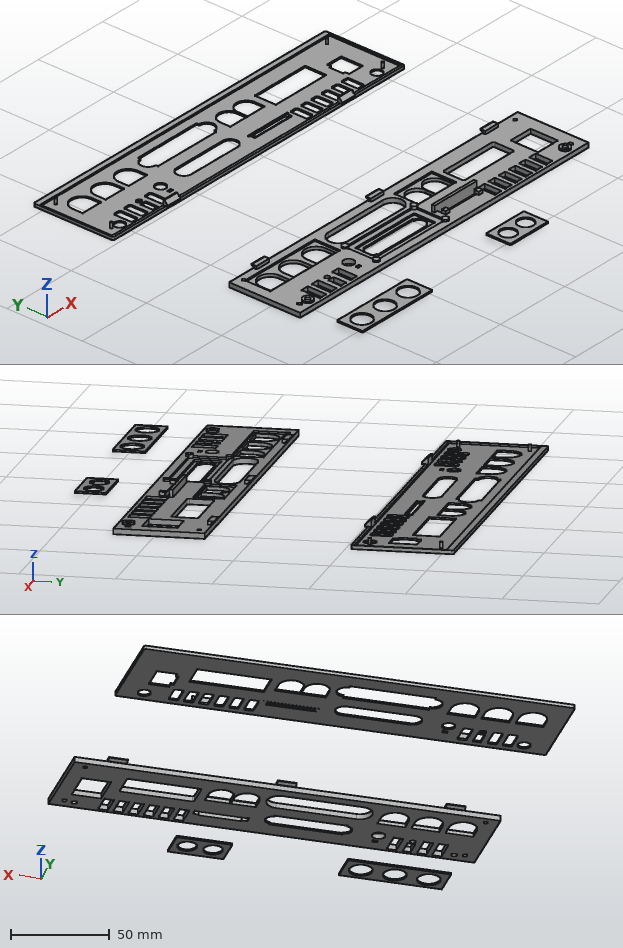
import cadquery as cq
SHEET = 1.0
REAR_TOP = 2 * SHEET
REAR_FLOOR = SHEET
FRONT_BOTTOM = REAR_FLOOR
FRONT_TOP = FRONT_BOTTOM + 3 * SHEET
LABEL_BOTTOM = FRONT_TOP - SHEET
BOSS_TOP = FRONT_TOP + SHEET
CUT_HEIGHT = 22.7

REAR_ORIGIN_Y = 55.0
FRONT_ORIGIN_Y = REAR_ORIGIN_Y - 125.0
REAR_WIDTH = 227.0
REAR_Y_MIN = -1.8
REAR_Y_MAX = 51.0
REAR_CORNER_RADIUS = 1.0
FRONT_WIDTH = 224.5
FRONT_HEIGHT = 47.2
RECESS_PLAY = 0.2

MEDIA_BAY_X = -78.5
MEDIA_PITCH = 18.0
MEDIA_ARCH_WIDTH = 14.5
MEDIA_ARCH_BOTTOM = 26.8
MEDIA_ARCH_TOP = 40.6
PS2_BAY_X = 24.0
PS2_PITCH = 13.6
PS2_ARCH_WIDTH = 13.2
PS2_ARCH_BOTTOM = 26.3
PS2_ARCH_TOP = 39.5

SLOT_PITCH = 8.0
SLOT_WIDTH = 5.0
SLOT_BOTTOM = 2.0
SLOT_CORNER_RADIUS = 1.0
LEFT_SLOT_X = -92.0
LEFT_SLOT_TOP = 14.3
LEFT_SLOT_PLACES = (0, 1, 3)
SHORT_SLOT_X = LEFT_SLOT_X + 2 * SLOT_PITCH
SHORT_SLOT_WIDTH = 4.0
SHORT_SLOT_TOP = 10.5
LAMP_Y = 13.0
REAR_LAMP_DIAMETER = 3.5
FRONT_LAMP_DIAMETER = 3.0
RIGHT_SLOT_X = 44.3
RIGHT_SLOT_COUNT = 6
RIGHT_SLOT_TOP = 13.2

KNOB_X = -57.7
KNOB_Y = 14.3
KNOB_DIAMETER = 6.8
SLIT_Y = 8.0
SLIT_WIDTH = 2.5
SLIT_HEIGHT = 1.5

WINDOW_X = 62.0
WINDOW_Y = 30.2
WINDOW_WIDTH = 39.3
WINDOW_HEIGHT = 14.0
WINDOW_CORNER_RADIUS = 1.0

CONNECTOR_X = -20.5
WIDE_PORT_Y = 35.0
WIDE_PORT_LENGTH = 55.6
WIDE_PORT_HEIGHT = 13.2
WIDE_PORT_BODY_LENGTH = 45.5
WIDE_PORT_LOBE_DIAMETER = 10.0
NARROW_PORT_Y = 15.2
NARROW_PORT_LENGTH = 45.6
NARROW_PORT_HEIGHT = 9.8
NARROW_PORT_BODY_LENGTH = 38.5
NARROW_PORT_LOBE_DIAMETER = 8.2
BEZEL_LENGTH = 53.8
BEZEL_HEIGHT = 20.9
WELL_LENGTH = 45.9
WELL_HEIGHT = 14.0
BEZEL_POST_DIAMETER = 3.9

INLET_LEFT = 88.3
INLET_Y = 22.2
INLET_FRONT_WIDTH = 15.5
INLET_FRONT_HEIGHT = 18.2
INLET_REAR_LEFT = 90.0
INLET_REAR_RIGHT = 100.5
INLET_REAR_HEIGHT = 14.5
INLET_BULGE_HEIGHT = 9.0

CARD_X = 24.7
CARD_WIDTH = 28.5
CARD_BOTTOM = 9.8
CARD_TOP = 13.6
CARD_REAR_WIDTH = 25.5
CARD_REAR_BOTTOM = 10.5
CARD_REAR_TOP = 13.0
CARD_LEDGE_DEPTH = 0.5
HOOD_GROOVE_WIDTH = 30.9
HOOD_GROOVE_BOTTOM = 12.7
HOOD_WIDTH = 33.0
HOOD_THICKNESS = 1.8
HOOD_TOP = 8.0
STOP_WIDTH = 3.0
STOP_BOTTOM = 8.0
STOP_LENGTH = 2.7
STOP_TOP = FRONT_TOP + 2 * SHEET

SCREW_X = 100.0
SCREW_Y = 5.2
BUSHING_DIAMETER = 6.4
BUSHING_BORE = 3.0
BUSHING_CLEARANCE_HOLE = 6.8
PIN_X = 105.5
PIN_UPPER_Y = 43.1
PIN_LOWER_Y = 6.1
PIN_DIAMETER = 1.4
PIN_TOP = 4.3
PIN_HOLE_DIAMETER = 2.0
PIN_SLOT_LENGTH = 2.7
CLIP_WIDTH = 10.0
FRONT_CLIP_XS = (-88.5, 0.5, 89.5)
REAR_CLIP_XS = (-67.6, 68.0)

MEDIA_LABEL_WIDTH = 54.3
MEDIA_LABEL_HEIGHT = 16.8
MEDIA_LABEL_HOLE = 12.0
MEDIA_POCKET_Y = 33.8
PS2_LABEL_WIDTH = 29.3
PS2_LABEL_HEIGHT = 16.1
PS2_LABEL_HOLE = 10.0
PS2_POCKET_Y = 33.4
LABEL_Y_MIN = -106.0
LABEL_HOLE_RISE = 8.2


def block(x, y, width, height, bottom, top):
    """Upright box centred on (x, y)."""
    return (cq.Workplane("XY").workplane(offset=bottom).center(x, y)
            .rect(width, height).extrude(top - bottom))


def span(x, y_min, y_max, width, bottom, top):
    """Upright box centred in X and reaching from y_min to y_max."""
    return block(x, (y_min + y_max) / 2, width, y_max - y_min, bottom, top)


def cylinder(x, y, diameter, bottom, top):
    return (cq.Workplane("XY").workplane(offset=bottom).center(x, y)
            .circle(diameter / 2).extrude(top - bottom))


def cut_block(x, y, width, height):
    return block(x, y, width, height, 0, CUT_HEIGHT)


def cut_cylinder(x, y, diameter):
    return cylinder(x, y, diameter, 0, CUT_HEIGHT)


def cut_arch(x, width, y_min, y_max):
    """Opening with a straight foot and a half-round head."""
    radius = width / 2
    spring_y = y_max - radius
    return (cq.Workplane("XY").moveTo(x - radius, y_min).lineTo(x + radius, y_min)
            .lineTo(x + radius, spring_y).threePointArc((x, y_max), (x - radius, spring_y))
            .close().extrude(CUT_HEIGHT))


def cut_obround(x, y, length, height, angle=0):
    return cq.Workplane("XY").center(x, y).slot2D(length, height, angle).extrude(CUT_HEIGHT)


def cut_lobed(x, y, length, body_length, height, lobe_diameter):
    """Rectangular opening with a rounded lobe at each end."""
    body = cut_block(x, y, body_length, height)
    return body.union(cut_obround(x, y, length, lobe_diameter))


def row(centre, pitch, count):
    """Evenly spaced positions about a centre."""
    return [centre + pitch * (i - (count - 1) / 2) for i in range(count)]


MEDIA_XS = row(MEDIA_BAY_X, MEDIA_PITCH, 3)
PS2_XS = row(PS2_BAY_X, PS2_PITCH, 2)


def narrow_slots(corner_radius):
    """The long slots of the left and right groups."""
    slots = [(LEFT_SLOT_X + SLOT_PITCH * place, LEFT_SLOT_TOP) for place in LEFT_SLOT_PLACES]
    slots += [(RIGHT_SLOT_X + SLOT_PITCH * i, RIGHT_SLOT_TOP) for i in range(RIGHT_SLOT_COUNT)]
    cutters = []
    for x, top in slots:
        cutter = span(x, SLOT_BOTTOM, top, SLOT_WIDTH, 0, CUT_HEIGHT)
        if corner_radius:
            cutter = cutter.edges("|Z").fillet(corner_radius)
        cutters.append(cutter)
    return cutters


def shared_openings():
    """Openings that have the same shape in both plates."""
    cutters = [cut_arch(x, MEDIA_ARCH_WIDTH, MEDIA_ARCH_BOTTOM, MEDIA_ARCH_TOP) for x in MEDIA_XS]
    cutters += [cut_arch(x, PS2_ARCH_WIDTH, PS2_ARCH_BOTTOM, PS2_ARCH_TOP) for x in PS2_XS]
    cutters.append(span(SHORT_SLOT_X, SLOT_BOTTOM, SHORT_SLOT_TOP, SHORT_SLOT_WIDTH, 0, CUT_HEIGHT))
    cutters.append(cut_cylinder(KNOB_X, KNOB_Y, KNOB_DIAMETER))
    cutters.append(cut_block(KNOB_X, SLIT_Y, SLIT_WIDTH, SLIT_HEIGHT))
    return cutters


def cut_all(plate, cutters):
    for cutter in cutters:
        plate = plate.cut(cutter)
    return plate


def rear_clip(x):
    """Ramped catch on the lower rim, overhanging its outer side."""
    root_y = -RECESS_PLAY
    tip_y = -3.5
    crest_y = -1.0
    ramp_z = 3.0
    crest_z = 5.2
    profile = [(root_y, REAR_TOP), (root_y, crest_z), (crest_y, crest_z),
               (tip_y, ramp_z), (tip_y, REAR_TOP)]
    return (cq.Workplane("YZ").workplane(offset=x - CLIP_WIDTH / 2)
            .polyline(profile).close().extrude(CLIP_WIDTH))


def rear_inlet():
    """Power inlet opening with a bulge on its left side."""
    width = INLET_REAR_RIGHT - INLET_REAR_LEFT
    body = cut_block(INLET_REAR_LEFT + width / 2, INLET_Y, width, INLET_REAR_HEIGHT)
    bulge_width = INLET_REAR_RIGHT - INLET_LEFT
    bulge = cut_block(INLET_LEFT + bulge_width / 2, INLET_Y, bulge_width, INLET_BULGE_HEIGHT)
    return body.union(bulge)


def make_rear_plate():
    plate = span(0, REAR_Y_MIN, REAR_Y_MAX, REAR_WIDTH, 0, REAR_TOP)
    plate = plate.edges("|Z").fillet(REAR_CORNER_RADIUS)
    recess_width = FRONT_WIDTH + 2 * RECESS_PLAY
    plate = plate.cut(span(0, -RECESS_PLAY, FRONT_HEIGHT + RECESS_PLAY, recess_width, REAR_FLOOR, CUT_HEIGHT))

    ledge_z = REAR_FLOOR - CARD_LEDGE_DEPTH
    plate = cut_all(plate, shared_openings() + narrow_slots(SLOT_CORNER_RADIUS))
    plate = cut_all(plate, [
        cut_cylinder(SHORT_SLOT_X, LAMP_Y, REAR_LAMP_DIAMETER),
        cut_block(WINDOW_X, WINDOW_Y, WINDOW_WIDTH, WINDOW_HEIGHT),
        cut_lobed(CONNECTOR_X, WIDE_PORT_Y, WIDE_PORT_LENGTH, WIDE_PORT_BODY_LENGTH,
                  WIDE_PORT_HEIGHT, WIDE_PORT_LOBE_DIAMETER),
        cut_obround(CONNECTOR_X, NARROW_PORT_Y, NARROW_PORT_LENGTH, NARROW_PORT_HEIGHT),
        rear_inlet(),
        span(CARD_X, CARD_REAR_BOTTOM, CARD_REAR_TOP, CARD_REAR_WIDTH, 0, CUT_HEIGHT),
        span(CARD_X, CARD_BOTTOM, CARD_TOP, CARD_WIDTH, ledge_z, CUT_HEIGHT),
        span(CARD_X, HOOD_GROOVE_BOTTOM, CARD_TOP, HOOD_GROOVE_WIDTH, ledge_z, CUT_HEIGHT),
    ])
    for side in (-1, 1):
        plate = plate.cut(cut_cylinder(side * SCREW_X, SCREW_Y, BUSHING_CLEARANCE_HOLE))
        for y in (PIN_LOWER_Y, PIN_UPPER_Y):
            plate = plate.union(cylinder(side * PIN_X, y, PIN_DIAMETER, 0, PIN_TOP))
    for x in REAR_CLIP_XS:
        plate = plate.union(rear_clip(x))
    return plate.translate((0, REAR_ORIGIN_Y, 0))


def front_clip(x):
    """Hook on the upper edge, its lip reaching past the plate."""
    back_y = FRONT_HEIGHT - 2.3
    neck_y = FRONT_HEIGHT - 0.7
    lip_y = FRONT_HEIGHT + 1.1
    neck_z = FRONT_TOP + SHEET / 2
    top_z = FRONT_TOP + 2 * SHEET
    lip_z = top_z - 0.5
    profile = [(back_y, FRONT_TOP), (back_y, top_z), (lip_y, top_z), (lip_y, lip_z),
               (neck_y, neck_z), (neck_y, FRONT_TOP)]
    return (cq.Workplane("YZ").workplane(offset=x - CLIP_WIDTH / 2)
            .polyline(profile).close().extrude(CLIP_WIDTH))


def add_bezel(plate):
    """Two-step sunken frame round the narrow port with a post at each corner."""
    bezel_floor = FRONT_TOP - SHEET
    well_floor = FRONT_TOP - 2 * SHEET
    plate = plate.cut(block(CONNECTOR_X, NARROW_PORT_Y, BEZEL_LENGTH, BEZEL_HEIGHT, bezel_floor, CUT_HEIGHT))
    plate = plate.cut(block(CONNECTOR_X, NARROW_PORT_Y, WELL_LENGTH, WELL_HEIGHT, well_floor, CUT_HEIGHT))
    plate = plate.cut(cut_lobed(CONNECTOR_X, NARROW_PORT_Y, NARROW_PORT_LENGTH, NARROW_PORT_BODY_LENGTH,
                                NARROW_PORT_HEIGHT, NARROW_PORT_LOBE_DIAMETER))
    for x in (CONNECTOR_X - BEZEL_LENGTH / 2, CONNECTOR_X + BEZEL_LENGTH / 2):
        for y in (NARROW_PORT_Y - BEZEL_HEIGHT / 2, NARROW_PORT_Y + BEZEL_HEIGHT / 2):
            plate = plate.union(cylinder(x, y, BEZEL_POST_DIAMETER, bezel_floor, BOSS_TOP))
    return plate


def add_card_slot(plate):
    """Through slot under an upright hood, with a stop at each lower corner."""
    plate = plate.cut(span(CARD_X, CARD_BOTTOM, CARD_TOP, CARD_WIDTH, 0, CUT_HEIGHT))
    plate = plate.union(span(CARD_X, CARD_TOP, CARD_TOP + HOOD_THICKNESS, HOOD_WIDTH, FRONT_BOTTOM, HOOD_TOP))
    for side in (-1, 1):
        x = CARD_X + side * (CARD_WIDTH - STOP_WIDTH) / 2
        stop = span(x, STOP_BOTTOM, STOP_BOTTOM + STOP_LENGTH, STOP_WIDTH, FRONT_BOTTOM, STOP_TOP)
        plate = plate.union(stop)
    return plate


def add_fasteners(plate):
    """Screw bushings and the holes for the locating pins."""
    for side in (-1, 1):
        x = side * SCREW_X
        plate = plate.union(cylinder(x, SCREW_Y, BUSHING_DIAMETER, FRONT_BOTTOM, BOSS_TOP))
        plate = plate.cut(cut_cylinder(x, SCREW_Y, BUSHING_BORE))
        plate = plate.cut(cut_cylinder(side * PIN_X, PIN_UPPER_Y, PIN_HOLE_DIAMETER))
        plate = plate.cut(cut_obround(side * PIN_X, PIN_LOWER_Y, PIN_SLOT_LENGTH, PIN_HOLE_DIAMETER, 90))
    return plate


def make_front_plate():
    plate = span(0, 0, FRONT_HEIGHT, FRONT_WIDTH, FRONT_BOTTOM, FRONT_TOP)
    plate = plate.cut(block(MEDIA_BAY_X, MEDIA_POCKET_Y, MEDIA_LABEL_WIDTH, MEDIA_LABEL_HEIGHT,
                            LABEL_BOTTOM, CUT_HEIGHT))
    plate = plate.cut(block(PS2_BAY_X, PS2_POCKET_Y, PS2_LABEL_WIDTH, PS2_LABEL_HEIGHT,
                            LABEL_BOTTOM, CUT_HEIGHT))

    inlet_x = INLET_LEFT + INLET_FRONT_WIDTH / 2
    window = cut_block(WINDOW_X, WINDOW_Y, WINDOW_WIDTH, WINDOW_HEIGHT)
    plate = cut_all(plate, shared_openings() + narrow_slots(0))
    plate = cut_all(plate, [
        cut_cylinder(SHORT_SLOT_X, LAMP_Y, FRONT_LAMP_DIAMETER),
        window.edges("|Z").fillet(WINDOW_CORNER_RADIUS),
        cut_obround(CONNECTOR_X, WIDE_PORT_Y, WIDE_PORT_LENGTH, WIDE_PORT_HEIGHT),
        cut_block(inlet_x, INLET_Y, INLET_FRONT_WIDTH, INLET_FRONT_HEIGHT),
    ])
    plate = add_bezel(plate)
    plate = add_card_slot(plate)
    plate = add_fasteners(plate)
    for x in FRONT_CLIP_XS:
        plate = plate.union(front_clip(x))
    return plate.translate((0, FRONT_ORIGIN_Y, 0))


def make_label(x, width, height, hole_xs, hole_diameter):
    """Thin strip with a round hole for each connector."""
    label = span(x, LABEL_Y_MIN, LABEL_Y_MIN + height, width, LABEL_BOTTOM, FRONT_TOP)
    holes = [cut_cylinder(hole_x, LABEL_Y_MIN + LABEL_HOLE_RISE, hole_diameter) for hole_x in hole_xs]
    return cut_all(label, holes)


rear_plate = make_rear_plate()
front_plate = make_front_plate()
media_label = make_label(MEDIA_BAY_X, MEDIA_LABEL_WIDTH, MEDIA_LABEL_HEIGHT, MEDIA_XS, MEDIA_LABEL_HOLE)
ps2_label = make_label(PS2_BAY_X, PS2_LABEL_WIDTH, PS2_LABEL_HEIGHT, PS2_XS, PS2_LABEL_HOLE)

result = cq.Compound.makeCompound([
    rear_plate.val(),
    front_plate.val(),
    media_label.val(),
    ps2_label.val(),
])